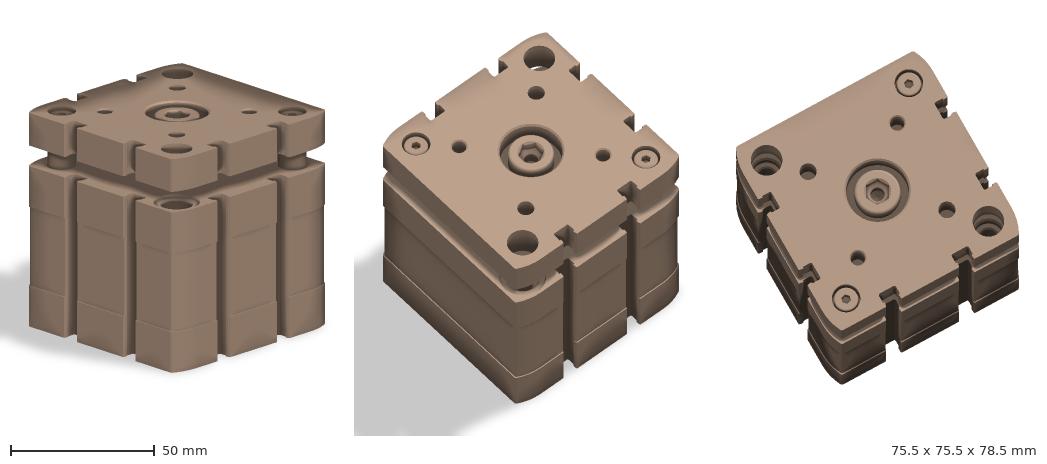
import cadquery as cq
import math

TOTAL_HEIGHT = 78.5
HOUSING_HEIGHT = 58.95
PLATE_THICKNESS = 12.0
PLATE_BOTTOM = TOTAL_HEIGHT - PLATE_THICKNESS
CAP_HEIGHT = 15.0

WIDTH = 75.5
HALF = WIDTH / 2
CORNER_RADIUS = 20.0
CORNER_ARC_START = 28.1
CORNER_EDGE_FILLET = 1.0
WAIST_INSET = 0.4

SLOT_OFFSET = 14.5
SLOT_DEPTH = 5.25
SLOT_MOUTH_WIDTH = 5.7
SLOT_WIDTH = 6.75
SLOT_LIP = 1.8
SLOT_FILLET = 0.6
SLOT_CHAMFER_WIDTH = 0.2
SLOT_CHAMFER_DEPTH = 0.8

CORNER_PITCH = 28.3
GUIDE_POINTS = [(-CORNER_PITCH, -CORNER_PITCH), (CORNER_PITCH, CORNER_PITCH)]
MOUNT_POINTS = [(-CORNER_PITCH, CORNER_PITCH), (CORNER_PITCH, -CORNER_PITCH)]

MOUNT_RECESS_DIA = 16.4
MOUNT_RECESS_FLOOR_DIA = 15.5
MOUNT_RECESS_DEPTH = 0.8
MOUNT_BORE_MOUTH_DIA = 12.0
MOUNT_BORE_DIA = 10.6
MOUNT_BORE_DEPTH = 5.0
MOUNT_SEAT_DIA = 7.85
MOUNT_HOLE_DIA = 6.7

GUIDE_DIA = 10.0
GUIDE_RECESS_DIA = 12.0
GUIDE_RECESS_FLOOR_DIA = 11.5
SCREW_HEAD_DIA = 8.5
SCREW_HEAD_HEIGHT = 6.0
SCREW_HEAD_FILLET = 0.55
SCREW_DROP = 1.0
SCREW_SOCKET_FLATS = 3.0
SCREW_SOCKET_DEPTH = 3.0
SCREW_SOCKET_ANGLE = 15.0

ROD_DIA = 16.0
ROD_TOP = TOTAL_HEIGHT - 1.0
ROD_FILLET = 0.95
ROD_FLATS = 13.0
ROD_FLAT_RUNOUT = 0.8
ROD_SOCKET_FLATS = 8.0
ROD_SOCKET_MOUTH_DIA = 9.6
ROD_SOCKET_DEPTH = 3.15
ROD_DRILL_DIA = 4.95
ROD_DRILL_DEPTH = 4.0

POCKET_DIA = 22.0
POCKET_DEPTH = 7.2
POCKET_CHAMFER = 0.6
ACCESS_HOLE_DIA = 11.0
SMALL_HOLE_PITCH = 17.75
PIN_HOLE_DIA = 6.0
TAPPED_HOLE_DIA = 5.0


def disc(points, dia, bottom, top):
    """Cylinders at the given points between two levels."""
    return cq.Workplane("XY", origin=(0, 0, bottom)).pushPoints(points).circle(dia / 2).extrude(top - bottom)


def cone(points, bottom_dia, top_dia, bottom, top):
    """Frustums at the given points; a zero bottom diameter gives a point."""
    solids = [
        cq.Solid.makeCone(bottom_dia / 2, top_dia / 2, top - bottom, cq.Vector(x, y, bottom))
        for x, y in points
    ]
    return cq.Workplane("XY").newObject(solids).combine()


def chamfer_cone(points, bottom_dia, top_dia, top):
    """45 degree countersinks that open upward to the given level."""
    return cone(points, bottom_dia, top_dia, top - (top_dia - bottom_dia) / 2, top)


def hexagon(points, flats, bottom, top, angle=0.0):
    """Hexagonal prisms; at angle zero two corners lie along X."""
    corner_dia = flats / math.cos(math.radians(30))
    prism = cq.Workplane("XY").polygon(6, corner_dia).extrude(top - bottom)
    prism = prism.rotate((0, 0, 0), (0, 0, 1), angle).val()
    solids = [prism.translate(cq.Vector(x, y, bottom)) for x, y in points]
    return cq.Workplane("XY").newObject(solids).combine()


def outline_block(inset, bottom, top):
    """Square block with eased corners, drawn in by the inset on every side."""
    half = HALF - inset
    radius = CORNER_RADIUS - inset

    def arc_x(y):
        rise = y - CORNER_ARC_START
        return half - radius + math.sqrt(radius**2 - rise**2)

    mid_y = (CORNER_ARC_START + half) / 2
    start_y = CORNER_ARC_START
    block = (
        cq.Workplane("XY", origin=(0, 0, bottom))
        .moveTo(half, -start_y)
        .lineTo(half, start_y)
        .threePointArc((arc_x(mid_y), mid_y), (arc_x(half), half))
        .lineTo(-arc_x(half), half)
        .threePointArc((-arc_x(mid_y), mid_y), (-half, start_y))
        .lineTo(-half, -start_y)
        .threePointArc((-arc_x(mid_y), -mid_y), (-arc_x(half), -half))
        .lineTo(arc_x(half), -half)
        .threePointArc((arc_x(mid_y), -mid_y), (half, -start_y))
        .close()
        .extrude(top - bottom)
    )
    corner_edges = [
        edge for edge in block.edges("|Z").vals() if abs(edge.Center().y) > half - CORNER_EDGE_FILLET
    ]
    return block.newObject(corner_edges).fillet(CORNER_EDGE_FILLET)


def slots(inset):
    """T-slots along Z, two in each of the -X, +X and -Y sides, for sides drawn in by the inset."""
    face = inset - HALF
    lip_end = SLOT_LIP - HALF
    floor = SLOT_DEPTH - HALF
    mouth_half = SLOT_MOUTH_WIDTH / 2
    mouth = (
        cq.Workplane("XY")
        .polyline([
            (-mouth_half - SLOT_CHAMFER_WIDTH, face),
            (mouth_half + SLOT_CHAMFER_WIDTH, face),
            (mouth_half, face + SLOT_CHAMFER_DEPTH),
            (mouth_half, lip_end),
            (-mouth_half, lip_end),
            (-mouth_half, face + SLOT_CHAMFER_DEPTH),
        ])
        .close()
        .extrude(TOTAL_HEIGHT)
    )
    chamber = (
        cq.Workplane("XY")
        .center(0, (lip_end + floor) / 2)
        .rect(SLOT_WIDTH, floor - lip_end)
        .extrude(TOTAL_HEIGHT)
        .edges("|Z and >Y")
        .fillet(SLOT_FILLET)
    )
    slot = chamber.union(mouth)
    pair = slot.translate((-SLOT_OFFSET, 0, 0)).union(slot.translate((SLOT_OFFSET, 0, 0)))
    all_slots = pair
    for angle in (90, -90):
        all_slots = all_slots.union(pair.rotate((0, 0, 0), (0, 0, 1), angle))
    return all_slots


def slotted_block(inset, bottom, top):
    return outline_block(inset, bottom, top).cut(slots(inset))


def make_housing():
    upper_cap_bottom = HOUSING_HEIGHT - CAP_HEIGHT
    body = slotted_block(0, 0, CAP_HEIGHT)
    body = body.union(slotted_block(WAIST_INSET, CAP_HEIGHT, upper_cap_bottom))
    body = body.union(slotted_block(0, upper_cap_bottom, HOUSING_HEIGHT))

    recess_floor = HOUSING_HEIGHT - MOUNT_RECESS_DEPTH
    seat = HOUSING_HEIGHT - MOUNT_BORE_DEPTH
    body = body.cut(
        cone(MOUNT_POINTS, MOUNT_RECESS_FLOOR_DIA, MOUNT_RECESS_DIA, recess_floor, HOUSING_HEIGHT)
    )
    body = body.cut(chamfer_cone(MOUNT_POINTS, MOUNT_BORE_DIA, MOUNT_BORE_MOUTH_DIA, recess_floor))
    body = body.cut(disc(MOUNT_POINTS, MOUNT_BORE_DIA, seat, recess_floor))
    body = body.cut(chamfer_cone(MOUNT_POINTS, MOUNT_HOLE_DIA, MOUNT_SEAT_DIA, seat))
    body = body.cut(disc(MOUNT_POINTS, MOUNT_HOLE_DIA, 0, seat))

    body = body.cut(chamfer_cone(GUIDE_POINTS, GUIDE_RECESS_FLOOR_DIA, GUIDE_RECESS_DIA, HOUSING_HEIGHT))
    body = body.cut(disc(GUIDE_POINTS, GUIDE_DIA, upper_cap_bottom, HOUSING_HEIGHT))
    return body.cut(disc([(0, 0)], ROD_DIA, upper_cap_bottom, HOUSING_HEIGHT))


def make_plate():
    """Yoke plate with its slots, centre pocket and holes."""
    center = [(0, 0)]
    pocket_floor = TOTAL_HEIGHT - POCKET_DEPTH
    pin_points = [(-SMALL_HOLE_PITCH, SMALL_HOLE_PITCH), (SMALL_HOLE_PITCH, -SMALL_HOLE_PITCH)]
    tapped_points = [(-SMALL_HOLE_PITCH, -SMALL_HOLE_PITCH), (SMALL_HOLE_PITCH, SMALL_HOLE_PITCH)]
    pocket_mouth_dia = POCKET_DIA + 2 * POCKET_CHAMFER

    plate = slotted_block(0, PLATE_BOTTOM, TOTAL_HEIGHT)
    plate = plate.cut(disc(center, POCKET_DIA, pocket_floor, TOTAL_HEIGHT))
    plate = plate.cut(chamfer_cone(center, POCKET_DIA, pocket_mouth_dia, TOTAL_HEIGHT))
    plate = plate.cut(disc(MOUNT_POINTS, ACCESS_HOLE_DIA, PLATE_BOTTOM, TOTAL_HEIGHT))
    plate = plate.cut(disc(pin_points, PIN_HOLE_DIA, PLATE_BOTTOM, TOTAL_HEIGHT))
    plate = plate.cut(disc(tapped_points, TAPPED_HOLE_DIA, PLATE_BOTTOM, TOTAL_HEIGHT))
    return plate.cut(chamfer_cone(tapped_points, TAPPED_HOLE_DIA, PIN_HOLE_DIA, TOTAL_HEIGHT))


def make_rod():
    """Piston rod with a rounded, drilled hexagon socket and two wrench flats."""
    center = [(0, 0)]
    rod = disc(center, ROD_DIA, HOUSING_HEIGHT - CAP_HEIGHT, ROD_TOP).faces(">Z").edges().fillet(ROD_FILLET)

    flat_y = ROD_FLATS / 2
    radius = ROD_DIA / 2
    flat_cut = (
        cq.Workplane("YZ")
        .polyline([
            (radius, HOUSING_HEIGHT),
            (radius, PLATE_BOTTOM),
            (flat_y, PLATE_BOTTOM),
            (flat_y, HOUSING_HEIGHT + ROD_FLAT_RUNOUT),
        ])
        .close()
        .extrude(radius, both=True)
    )
    rod = rod.cut(flat_cut).cut(flat_cut.mirror("XZ"))

    cone_slope = math.tan(math.radians(30))
    corner_dia = ROD_SOCKET_FLATS / math.cos(math.radians(30))
    socket_floor = ROD_TOP - ROD_SOCKET_DEPTH
    drill_mouth = socket_floor - (corner_dia - ROD_DRILL_DIA) / 2 * cone_slope
    drill_end = drill_mouth - ROD_DRILL_DEPTH
    point = drill_end - ROD_DRILL_DIA / 2 * cone_slope
    socket_mouth = chamfer_cone(center, ROD_SOCKET_FLATS, ROD_SOCKET_MOUTH_DIA, ROD_TOP)
    socket = hexagon(center, ROD_SOCKET_FLATS, drill_mouth, ROD_TOP)
    floor_cone = cone(center, ROD_DRILL_DIA, corner_dia, drill_mouth, socket_floor)
    socket = socket.intersect(floor_cone.union(disc(center, corner_dia, socket_floor, ROD_TOP)))
    drill = disc(center, ROD_DRILL_DIA, drill_end, drill_mouth)
    drill = drill.union(cone(center, 0, ROD_DRILL_DIA, point, drill_end))
    return rod.cut(socket_mouth).cut(socket).cut(drill)


def make_yoke():
    """Plate, piston rod, guide rods and their screws as one moving body."""
    head_top = TOTAL_HEIGHT - SCREW_DROP
    head_bottom = head_top - SCREW_HEAD_HEIGHT
    heads = disc(GUIDE_POINTS, SCREW_HEAD_DIA, head_bottom, head_top)
    heads = heads.faces(">Z").edges().fillet(SCREW_HEAD_FILLET)
    sockets = hexagon(
        GUIDE_POINTS, SCREW_SOCKET_FLATS, head_top - SCREW_SOCKET_DEPTH, head_top, SCREW_SOCKET_ANGLE
    )
    guides = disc(GUIDE_POINTS, GUIDE_DIA, HOUSING_HEIGHT - CAP_HEIGHT, PLATE_BOTTOM)

    plate = make_plate().cut(disc(GUIDE_POINTS, GUIDE_DIA, head_bottom, TOTAL_HEIGHT))
    plate = plate.union(heads.cut(sockets)).union(guides)
    plate = plate.cut(disc([(0, 0)], ROD_DIA, PLATE_BOTTOM, TOTAL_HEIGHT))
    return plate.union(make_rod())


housing = make_housing()
yoke = make_yoke()

result = cq.Compound.makeCompound([housing.val(), yoke.val()])